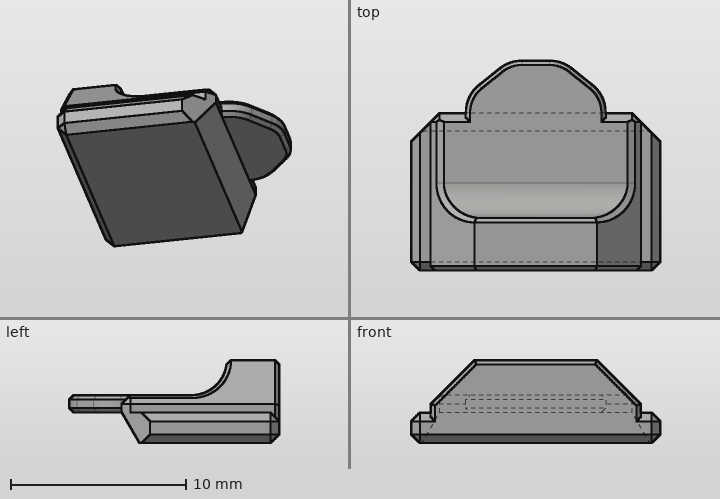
import cadquery as cq
import math

flange_width = 14.25
flange_height = 1.75
flange_chamfer = 0.5

body_width = 12.0
body_depth = 9.0
body_height = 4.75
crown_width = 7.0
shoulder_height = body_height - (body_width - crown_width) / 2
edge_chamfer = 0.25

deck_height = 2.75
step_y = 3.0
step_radius = body_height - deck_height

rear_chamfer = 0.5
rear_corner_cut = 1.625
undercut_angle = 60.0

tab_width = 8.0
tab_tip_width = 3.0
tab_tip_y = 12.0
tab_corner_y = 10.0
tab_corner_radius = 2.0
tab_chamfer = 0.25
tab_thickness = deck_height - flange_height

overrun = 5.0
selection_margin = 0.01


def make_flange():
    blank = cq.Workplane("XY").box(flange_width, body_depth, flange_height, centered=(True, False, False))
    front_and_sides = blank.edges("<Y or >X or <X").edges("not >Y")
    return front_and_sides.chamfer(flange_chamfer)


def make_step_cutter():
    """Volume removed above the deck, with the concave round at its front."""
    round_end_y = step_y + step_radius
    round_mid_offset = step_radius * math.sin(math.radians(45))
    rear_y = body_depth + overrun
    return (
        cq.Workplane("YZ")
        .moveTo(step_y, body_height + overrun)
        .lineTo(step_y, body_height)
        .threePointArc(
            (round_end_y - round_mid_offset, body_height - round_mid_offset),
            (round_end_y, deck_height),
        )
        .lineTo(rear_y, deck_height)
        .lineTo(rear_y, body_height + overrun)
        .close()
        .extrude(body_width, both=True)
    )


def make_body():
    half_width = body_width / 2
    half_crown = crown_width / 2
    block = (
        cq.Workplane("XZ")
        .polyline([
            (-half_width, flange_chamfer),
            (half_width, flange_chamfer),
            (half_width, shoulder_height),
            (half_crown, body_height),
            (-half_crown, body_height),
            (-half_width, shoulder_height),
        ])
        .close()
        .extrude(-body_depth)
    )
    block = block.faces("<Y").edges("not <Z").chamfer(edge_chamfer)
    stepped = block.cut(make_step_cutter())

    step_region = cq.selectors.BoxSelector(
        (-half_width, step_y - selection_margin, deck_height - selection_margin),
        (half_width, body_depth - selection_margin, body_height + selection_margin),
    )
    inner_seam = cq.selectors.BoxSelector(
        (-selection_margin, step_y + step_radius - selection_margin, deck_height - selection_margin),
        (selection_margin, step_y + step_radius + selection_margin, deck_height + selection_margin),
    )
    return stepped.edges(step_region - inner_seam).chamfer(edge_chamfer)


def half_space(point, outward_normal):
    """Large block covering everything on the outward side of a plane."""
    size = 4 * flange_width
    plane = cq.Plane(origin=point, normal=outward_normal)
    return cq.Workplane(plane).rect(size, size).extrude(size)


def trim_rear(solid):
    """Cut the undercut, the rear top chamfer and both rear corners."""
    angle = math.radians(undercut_angle)
    rear_edge_z = deck_height - rear_chamfer
    undercut = half_space((0, body_depth, flange_height), (0, math.sin(angle), -math.cos(angle)))
    top_chamfer = half_space((0, body_depth, rear_edge_z), (0, 1, 1))
    solid = solid.cut(undercut).cut(top_chamfer)
    corner_x = flange_width / 2 - rear_corner_cut
    for side in (-1, 1):
        wall = half_space((side * corner_x, body_depth, 0), (side, 1, 0))
        wall_chamfer = half_space((side * corner_x, body_depth, rear_edge_z), (side, 1, 1))
        solid = solid.cut(wall).cut(wall_chamfer)
    return solid


def make_tab():
    half_width = tab_width / 2
    half_tip = tab_tip_width / 2
    root_y = body_depth - 2 * rear_chamfer
    plate = (
        cq.Workplane("XY")
        .workplane(offset=flange_height)
        .polyline([
            (-half_width, root_y),
            (half_width, root_y),
            (half_width, tab_corner_y),
            (half_tip, tab_tip_y),
            (-half_tip, tab_tip_y),
            (-half_width, tab_corner_y),
        ])
        .close()
        .extrude(tab_thickness)
    )
    plate = plate.edges("|Z").edges("not <Y").fillet(tab_corner_radius)
    return plate.faces("<Z or >Z").edges("not <Y").chamfer(tab_chamfer)


base = trim_rear(make_flange().union(make_body()))
result = base.union(make_tab())